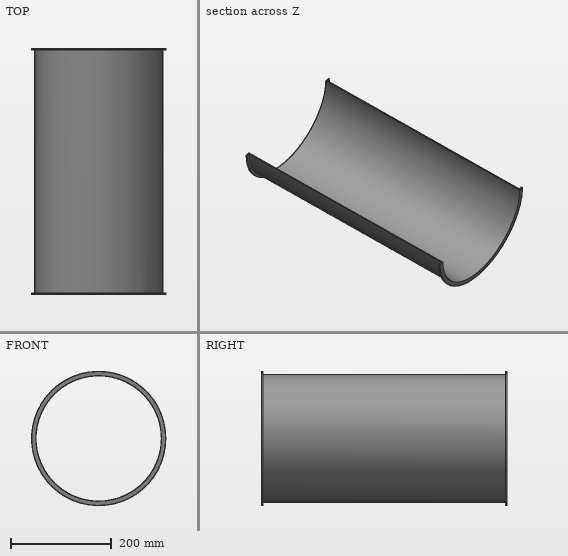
import cadquery as cq

bore_diameter = 249
tube_diameter = 255
flange_diameter = 267
length = 488
flange_thickness = 3


def ring(outer_diameter, start_y, width):
    """Ring about the Y axis, open through the bore, spanning start_y to start_y + width."""
    return (
        cq.Workplane("XZ", origin=(0, start_y, 0))
        .circle(outer_diameter / 2)
        .circle(bore_diameter / 2)
        .extrude(-width)
    )


result = ring(tube_diameter, -length / 2, length)
for flange_start in (-length / 2, length / 2 - flange_thickness):
    result = result.union(ring(flange_diameter, flange_start, flange_thickness))